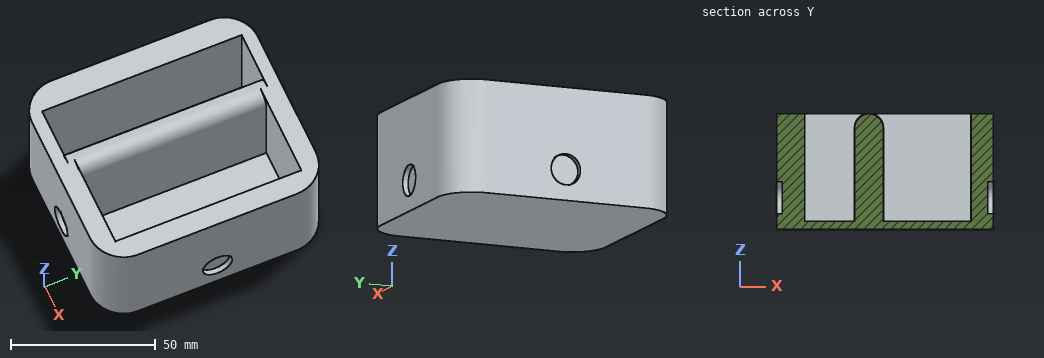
import cadquery as cq

length_x = 75.0
length_y = 85.0
height = 40.0
corner_radius = 12.7

floor_thickness = 3.0
left_pocket_x = -27.6
right_pocket_x = 29.6
left_pocket_y = 75.1
right_pocket_y = 70.0
divider_center_x = -5.5
divider_width = 10.0
divider_radius = divider_width / 2

recess_diameter = 11.0
recess_depth = 2.0
recess_height = 11.0


def pocket(x_min, x_max, width_y):
    """Box from the pocket floor to the top of the block, centred on Y."""
    return (
        cq.Workplane("XY", origin=((x_min + x_max) / 2, 0, floor_thickness))
        .box(x_max - x_min, width_y, height - floor_thickness, centered=(True, True, False))
    )


def divider():
    """Full-width wall with a half-round top that reaches the rim."""
    spring_height = height - divider_radius
    return (
        cq.Workplane("XZ", origin=(divider_center_x, 0, 0))
        .moveTo(-divider_radius, 0)
        .lineTo(-divider_radius, spring_height)
        .threePointArc((0, height), (divider_radius, spring_height))
        .lineTo(divider_radius, 0)
        .close()
        .extrude(left_pocket_y / 2, both=True)
    )


def recess(face_distance, angle):
    """Disc sunk into the side face that lies at the given angle about Z."""
    return (
        cq.Workplane("YZ", origin=(face_distance - recess_depth, 0, recess_height))
        .circle(recess_diameter / 2)
        .extrude(recess_depth)
        .rotate((0, 0, 0), (0, 0, 1), angle)
    )


block = (
    cq.Workplane("XY")
    .box(length_x, length_y, height, centered=(True, True, False))
    .edges("|Z")
    .fillet(corner_radius)
)

left_pocket = pocket(left_pocket_x, divider_center_x, left_pocket_y)
right_pocket = pocket(divider_center_x, right_pocket_x, right_pocket_y)
cavity = left_pocket.union(right_pocket).cut(divider())
result = block.cut(cavity)

for quarter_turn in range(4):
    face_distance = length_x / 2 if quarter_turn % 2 == 0 else length_y / 2
    result = result.cut(recess(face_distance, quarter_turn * 90))